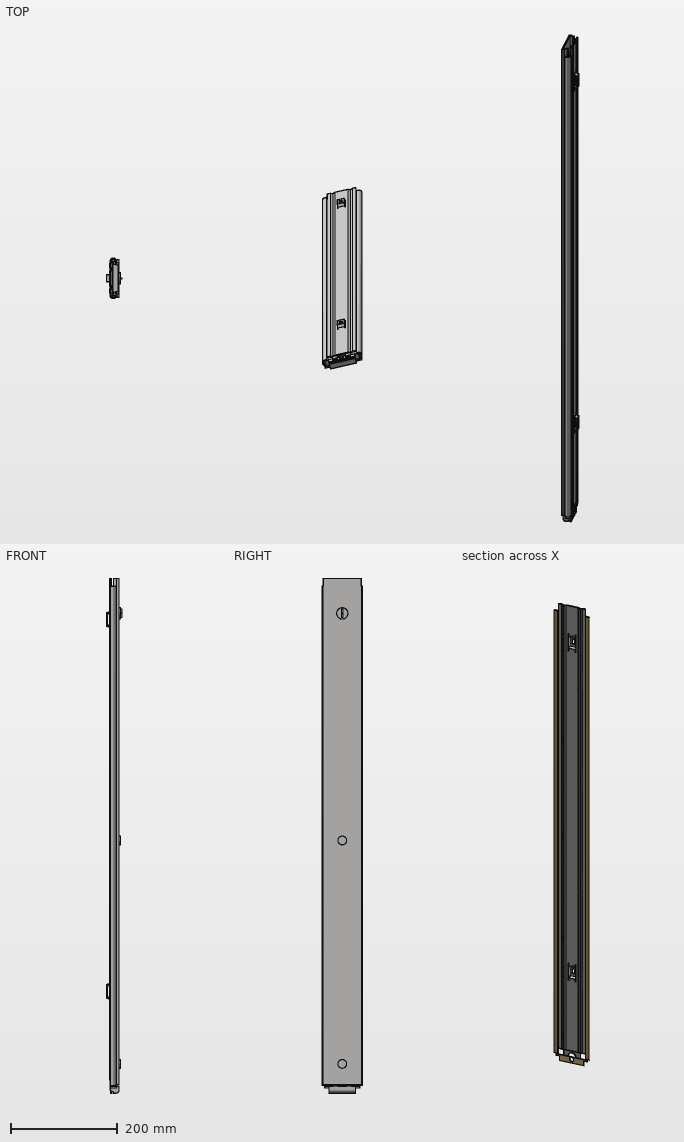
import cadquery as cq


sheet = 2.4
gap = 0.5
front_x = -9.2
back_x = 9.2
top_z = 483.0
bottom_z = -483.0

inner_half_width = 28.0
inner_bottom_z = -457.5
flute_start = 13.0
flute_end = 21.0
flute_depth = 2.0
inner_edge_radius = 2.0

middle_half_width = 38.1
middle_half_length = 468.0
middle_race_radius = 6.0
middle_race_x = -2.0
middle_web_x = front_x + flute_depth + sheet + gap

outer_half_width = 36.0
outer_flange_x = 4.3
outer_bottom_z = -466.0
outer_lip_x = middle_web_x + sheet + gap
outer_lip_y = 26.0

bridge_centres_z = (405.0, -291.5)
bridge_length = 29.0
bridge_half_width = 7.0
bridge_height = 6.0
bridge_slope = 2.0
window_length = 37.0
window_half_width = 8.0
bridge_hole_width = 6.0
bridge_hole_length = 10.0

disc_centres_z = (-9.0, -428.0)
disc_diameter = 16.0
button_height = 3.0
stud_centre_z = 417.0
stud_diameter = 21.0
fin_length = 16.0
fin_thickness = 2.0
fin_height = 3.0
notch_width = 2.0

latch_half_width = 25.0
latch_top_z = -469.0
latch_front_x = -7.0
latch_back_x = 9.2
latch_corner_radius = 6.0
latch_hole_diameter = 8.0
latch_hole_depth = 4.0
latch_hole_z = -475.0
shoulder_half_width = 33.0
shoulder_bottom_z = -473.0
shoulder_back_x = 4.0
plate_half_width = 17.0
plate_front_x = -8.2
plate_bottom_z = -477.0
arch_half_width = 8.0
arch_top_z = -461.0
slot_front_x = -5.0
slot_width = 3.0
slot_depth = 3.0


def box(x_range, y_range, z_range):
    """Block between the given limits."""
    size = [high - low for low, high in (x_range, y_range, z_range)]
    return cq.Workplane("XY").box(*size, centered=False).translate((x_range[0], y_range[0], z_range[0]))


def extrude_section(points, z_low, z_high):
    """Close a section through points in XY and extrude it between two heights."""
    return cq.Workplane("XY").workplane(offset=z_low).polyline(points).close().extrude(z_high - z_low)


def corner_selector(side):
    """Selects the front edge of the strip on the +Y side (side = 1) or the -Y side (side = -1)."""
    corner_y = side * inner_half_width
    return cq.selectors.BoxSelector(
        (front_x - gap, corner_y - gap, inner_bottom_z),
        (front_x + gap, corner_y + gap, top_z),
    )


def fluted_strip():
    front_half = [
        (inner_half_width, front_x),
        (flute_end, front_x),
        ((flute_start + flute_end) / 2, front_x + flute_depth),
        (flute_start, front_x),
    ]
    front = [(x, y) for y, x in front_half]
    front += [(x, -y) for x, y in reversed(front)]
    back = [(x + sheet, y) for x, y in reversed(front)]
    strip = extrude_section(front + back, inner_bottom_z, top_z)
    corners = strip.edges("|Z").edges(corner_selector(1) + corner_selector(-1))
    return corners.fillet(inner_edge_radius)


def bridge(centre_z):
    """Sheet bridge with sloping legs and a rectangular hole, standing on the window's ends."""
    crest_x = front_x - bridge_height
    foot_x = front_x + sheet
    half_crest = bridge_length / 2 - bridge_slope
    half_window = window_length / 2
    half_base = bridge_length / 2
    half_inside = half_crest - sheet
    section = [
        (foot_x, -half_window),
        (front_x, -half_window),
        (front_x, -half_base),
        (crest_x, -half_crest),
        (crest_x, half_crest),
        (front_x, half_base),
        (front_x, half_window),
        (foot_x, half_window),
        (foot_x, half_base - sheet),
        (crest_x + sheet, half_inside),
        (crest_x + sheet, -half_inside),
        (foot_x, -half_base + sheet),
    ]
    body = cq.Workplane("XZ").polyline(section).close().extrude(bridge_half_width, both=True)
    hole = cq.Workplane("YZ").rect(bridge_hole_width, bridge_hole_length).extrude(2 * crest_x)
    return body.cut(hole).translate((0, 0, centre_z))


def make_inner_member():
    member = fluted_strip()
    for centre_z in bridge_centres_z:
        window = box(
            (front_x, front_x + sheet),
            (-window_half_width, window_half_width),
            (centre_z - window_length / 2, centre_z + window_length / 2),
        )
        member = member.cut(window).union(bridge(centre_z))
    return member


def race(side):
    """Half-round edge of the middle member, on the +Y side (side = 1) or the -Y side (side = -1)."""
    centre_y = middle_half_width - middle_race_radius
    start_y = inner_half_width + gap
    ring_z = -middle_half_length
    height = 2 * middle_half_length
    centre = cq.Workplane("XY", origin=(middle_race_x, side * centre_y, ring_z))
    ring = centre.circle(middle_race_radius).circle(middle_race_radius - sheet).extrude(height)
    open_half = centre.center(0, -side * middle_race_radius).rect(
        2 * middle_race_radius, 2 * middle_race_radius
    ).extrude(height)
    front_wall_x = middle_race_x - middle_race_radius
    wall_y = sorted((side * start_y, side * centre_y))
    wall = box((front_wall_x, front_wall_x + sheet), wall_y, (ring_z, -ring_z))
    foot_y = sorted((side * start_y, side * (start_y + sheet)))
    foot = box((front_wall_x, middle_web_x + sheet), foot_y, (ring_z, -ring_z))
    return ring.cut(open_half).union(wall).union(foot)


def make_middle_member():
    web_half_width = inner_half_width + gap
    web = box(
        (middle_web_x, middle_web_x + sheet),
        (-web_half_width, web_half_width),
        (-middle_half_length, middle_half_length),
    )
    return web.union(race(1)).union(race(-1))


def button(centre_z, diameter):
    """Round boss profile on the back face of the outer member."""
    return cq.Workplane("YZ", origin=(back_x, 0, centre_z)).circle(diameter / 2)


def notched_fin():
    """Thin fin along Z on the crown of the stud."""
    crown_x = back_x + button_height
    fin = cq.Workplane("YZ", origin=(crown_x, 0, stud_centre_z)).rect(fin_thickness, fin_length)
    notch = cq.Workplane("YZ", origin=(crown_x, 0, stud_centre_z)).rect(fin_thickness, notch_width)
    return fin.extrude(fin_height).cut(notch.extrude(fin_height))


def make_outer_member():
    height_z = (outer_bottom_z, top_z)
    side_half_width = middle_half_width - middle_race_radius - gap
    inside_half_width = side_half_width - sheet
    sides = box((outer_lip_x, back_x), (-side_half_width, side_half_width), height_z)
    flange = box((outer_flange_x, back_x), (-outer_half_width, outer_half_width), height_z)
    inside = box((outer_lip_x + sheet, back_x - sheet), (-inside_half_width, inside_half_width), height_z)
    opening = box((outer_lip_x, outer_lip_x + sheet), (-outer_lip_y, outer_lip_y), height_z)
    member = sides.union(flange).cut(inside).cut(opening)
    for centre_z in disc_centres_z:
        member = member.union(button(centre_z, disc_diameter).extrude(button_height))
    stud = button(stud_centre_z, stud_diameter).extrude(button_height)
    return member.union(stud).union(notched_fin())


def make_latch():
    block = box(
        (latch_front_x, latch_back_x), (-latch_half_width, latch_half_width), (bottom_z, latch_top_z)
    )
    block = block.edges("|Y and >X and <Z").fillet(latch_corner_radius)
    slot = box(
        (slot_front_x, slot_front_x + slot_width),
        (-latch_half_width, latch_half_width),
        (bottom_z, bottom_z + slot_depth),
    )
    shoulders = box(
        (latch_front_x, shoulder_back_x),
        (-shoulder_half_width, shoulder_half_width),
        (shoulder_bottom_z, latch_top_z),
    )
    plate = box(
        (plate_front_x, latch_front_x),
        (-plate_half_width, plate_half_width),
        (plate_bottom_z, inner_bottom_z),
    )
    arch = (
        cq.Workplane("YZ", origin=(plate_front_x, 0, 0))
        .moveTo(-arch_half_width, plate_bottom_z)
        .lineTo(-arch_half_width, arch_top_z - arch_half_width)
        .threePointArc((0, arch_top_z), (arch_half_width, arch_top_z - arch_half_width))
        .lineTo(arch_half_width, plate_bottom_z)
        .close()
        .extrude(latch_front_x - plate_front_x)
    )
    hole = (
        cq.Workplane("YZ", origin=(latch_front_x, 0, latch_hole_z))
        .circle(latch_hole_diameter / 2)
        .extrude(latch_hole_depth)
    )
    return block.union(shoulders).cut(slot).cut(hole).union(plate.cut(arch))


inner_member = make_inner_member()
middle_member = make_middle_member()
outer_member = make_outer_member()
latch = make_latch()
result = cq.Compound.makeCompound(
    [inner_member.val(), middle_member.val(), outer_member.val(), latch.val()]
)